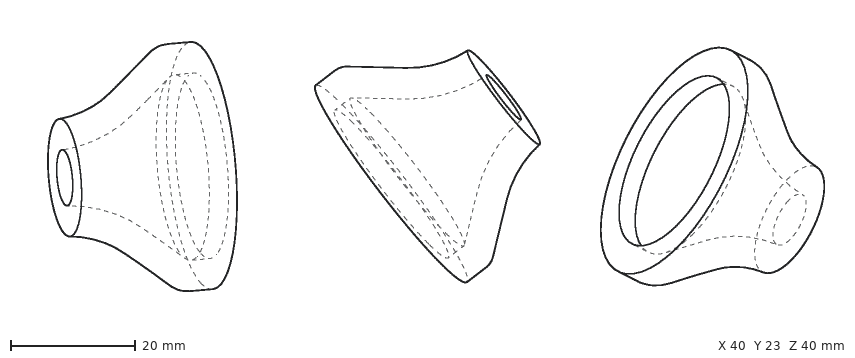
import cadquery as cq
import math

rim_radius = 20.0
length = 23.0
neck_radius = 9.5
bore_radius = 4.5
wall = 5.0
rim_width = 3.9
shoulder_radius = 3.0
cone_angle = math.radians(38.6)
flare_start = 13.25

shoulder_end_radius = rim_radius - shoulder_radius * (1 - math.cos(cone_angle))
shoulder_end = rim_width + shoulder_radius * math.sin(cone_angle)

flare_start_radius = shoulder_end_radius - (flare_start - shoulder_end) * math.tan(cone_angle)

inner_flare_radius = flare_start_radius - wall * math.cos(cone_angle)
inner_flare_start = flare_start - wall * math.sin(cone_angle)
cavity_radius = rim_radius - wall
cavity_rim_width = inner_flare_start - (cavity_radius - inner_flare_radius) / math.tan(cone_angle)

outer_section = (
    cq.Workplane("XY")
    .lineTo(rim_radius, 0)
    .lineTo(rim_radius, -rim_width)
    .tangentArcPoint((shoulder_end_radius, -shoulder_end), relative=False)
    .lineTo(flare_start_radius, -flare_start)
    .tangentArcPoint((neck_radius, -length), relative=False)
    .lineTo(0, -length)
    .close()
)
cavity_section = (
    cq.Workplane("XY")
    .lineTo(cavity_radius, 0)
    .lineTo(cavity_radius, -cavity_rim_width)
    .lineTo(inner_flare_radius, -inner_flare_start)
    .tangentArcPoint((bore_radius, -length), relative=False)
    .lineTo(0, -length)
    .close()
)


def turn(section):
    """Revolve a half section fully about the Y axis."""
    return section.revolve(360, (0, 0, 0), (0, 1, 0))


result = turn(outer_section).cut(turn(cavity_section))